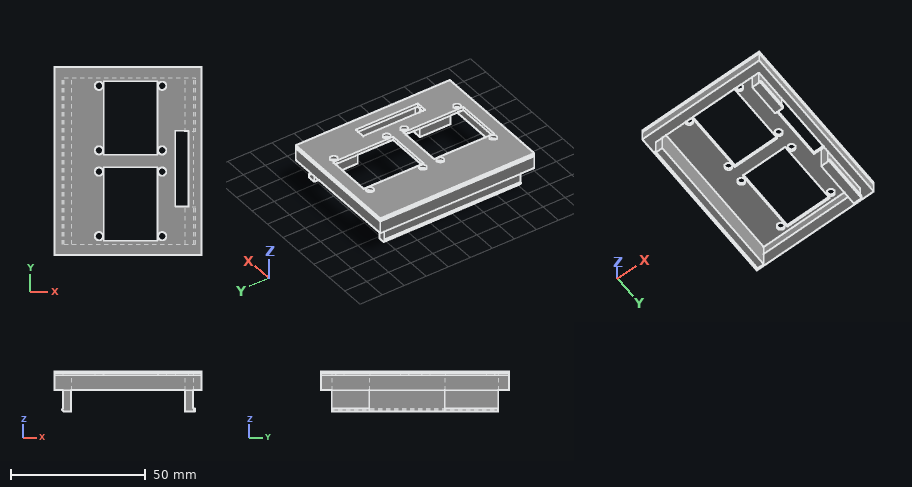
import cadquery as cq

panel_width = 54.82
panel_length = 69.9
total_height = 15.0

rim_thickness = 0.75
spacer_thickness = 0.75
rim_bottom = total_height - rim_thickness
frame_top = rim_bottom - spacer_thickness
frame_bottom = 8.0

cavity_width = 48.4
cavity_length = 61.9

window_width = 19.9
window_length = 27.2
window_x = 0.95
window_offset_y = 15.95
screw_diameter = 3.0
screw_pitch_x = 23.5
screw_pitch_y = 24.0

slot_width = 4.8
slot_length = 28.1
slot_x = 20.0
slot_y = -2.85

leg_thickness = 3.1
leg_gap_length = 28.1
leg_gap_y = -2.95

bead_height = 1.3
left_bead_profile = [
    (0, bead_height),
    (0.3, 1.05),
    (0.35, 0.8),
    (-0.05, 0.25),
    (-0.25, 0),
]
right_bead_reach = 0.8
right_bead_chamfer = 0.25
right_bead_profile = [
    (0, bead_height),
    (right_bead_reach - right_bead_chamfer, bead_height),
    (right_bead_reach, bead_height - right_bead_chamfer),
    (right_bead_reach, right_bead_chamfer),
    (right_bead_reach - right_bead_chamfer, 0),
]

taper_reach = 0.5
taper_length = 0.2


def block(width, length, bottom, top, x=0.0, y=0.0):
    """Upright rectangular block centred on (x, y)."""
    base = cq.Workplane("XY", origin=(x, y, bottom))
    return base.rect(width, length).extrude(top - bottom)


def pierced(body):
    """Cut the windows, the screw holes and the slot through a plate."""
    top = total_height
    for y in (-window_offset_y, window_offset_y):
        body = body.cut(block(window_width, window_length, frame_top, top, window_x, y))
        screws = (
            cq.Workplane("XY", origin=(window_x, y, frame_top))
            .rect(screw_pitch_x, screw_pitch_y, forConstruction=True)
            .vertices()
            .circle(screw_diameter / 2)
            .extrude(top - frame_top)
        )
        body = body.cut(screws)
    return body.cut(block(slot_width, slot_length, frame_top, top, slot_x, slot_y))


def cover_plate():
    """Pierced cover: a thin rim and a thicker centre that drops into the spacer."""
    rim = block(panel_width, panel_length, rim_bottom, total_height)
    centre = block(cavity_width, cavity_length, frame_top, rim_bottom)
    return pierced(rim.union(centre))


def spacer_ring():
    """Flat ring between the cover rim and the frame."""
    ring = block(panel_width, panel_length, frame_top, rim_bottom)
    return ring.cut(block(cavity_width, cavity_length, frame_top, rim_bottom))


def clip_leg(side, bead_profile):
    """Leg against the cavity wall, with a snap bead along its outer foot."""
    inner = cavity_width / 2 - leg_thickness
    outer = cavity_width / 2
    bead = [(outer + reach, z) for reach, z in bead_profile]
    profile = [(inner, 0), (inner, frame_top), (outer, frame_top)] + bead
    return (
        cq.Workplane("XZ", origin=(0, cavity_length / 2, 0))
        .polyline([(side * x, z) for x, z in profile])
        .close()
        .extrude(cavity_length)
    )


def bead_end_wedge(end):
    """Corner wedge that tapers one end of the right bead; end is -1 or 1 along Y."""
    tip_x = cavity_width / 2 + right_bead_reach
    end_y = end * cavity_length / 2
    corner = [
        (tip_x, end_y),
        (tip_x - taper_reach, end_y),
        (tip_x, end_y - end * taper_length),
    ]
    return cq.Workplane("XY").polyline(corner).close().extrude(bead_height)


def clip_frame():
    """Open rectangular frame with both clip legs; the right leg is gapped at the slot."""
    walls = block(panel_width, panel_length, frame_bottom, frame_top)
    walls = walls.cut(block(cavity_width, cavity_length, frame_bottom, frame_top))
    left_leg = clip_leg(-1, left_bead_profile)
    gap_width = 2 * leg_thickness
    leg_gap = block(gap_width, leg_gap_length, 0, frame_top, cavity_width / 2, leg_gap_y)
    right_leg = clip_leg(1, right_bead_profile).cut(leg_gap)
    for end in (-1, 1):
        right_leg = right_leg.cut(bead_end_wedge(end))
    return walls.union(left_leg).union(right_leg)


frame = clip_frame()
spacer = spacer_ring()
cover = cover_plate()

result = cq.Compound.makeCompound([frame.val(), spacer.val(), cover.val()])